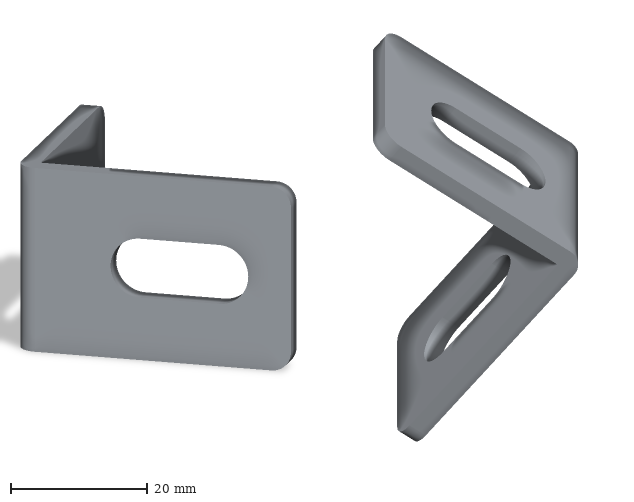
import cadquery as cq

length_x = 42.0
length_y = 37.0
height = 28.0
thickness = 3.0
bend_radius = thickness
corner_radius = 3.0
slot_length = 21.0
slot_width = 9.0
slot_center_x = 25.0
slot_center_y = 18.0


def make_leg(size_x, size_y, end_faces, corner_edges):
    """Upright plate starting at the outer bend corner, with its free corners rounded."""
    plate = cq.Workplane("XY").box(size_x, size_y, height, centered=False)
    return plate.faces(end_faces).edges(corner_edges).fillet(corner_radius)


def make_slot(plane, center):
    """Round-ended cutter that passes through a leg at mid height."""
    return (
        cq.Workplane(plane)
        .center(center, height / 2)
        .slot2D(slot_length, slot_width)
        .extrude(thickness, both=True)
    )


long_leg = make_leg(length_x, thickness, ">X", "|Y")
short_leg = make_leg(thickness, length_y, ">Y", "|X")
bracket = long_leg.union(short_leg, clean=True)

bracket = bracket.edges(cq.selectors.NearestToPointSelector((0, 0, height / 2))).fillet(bend_radius)

bracket = bracket.cut(make_slot("XZ", slot_center_x))
bracket = bracket.cut(make_slot("YZ", slot_center_y))

result = bracket